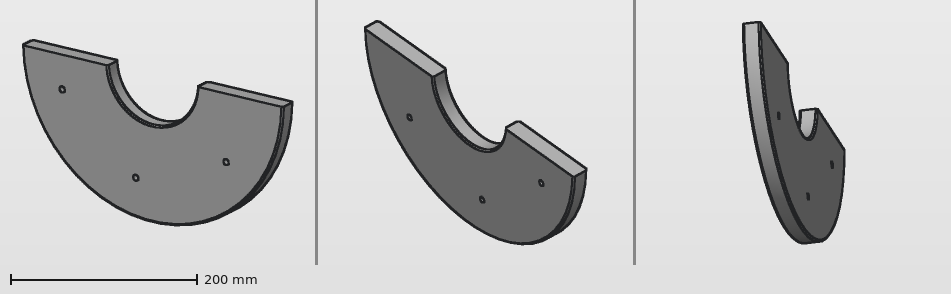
import cadquery as cq

outer_radius = 170.0
bore_radius = 58.0
thickness = 20.0
cut_offset = 2.5
edge_chamfer = 2.0
hole_diameter = 6.8
hole_centres = [(-117.5, -42.0), (-21.8, -123.0), (96.0, -80.5)]


def disc(radius, length):
    """Cylinder along Y, centred on the origin."""
    return cq.Workplane("XZ").circle(radius).extrude(length / 2, both=True)


ring = disc(outer_radius, thickness).cut(disc(bore_radius, thickness))
ring = ring.faces("<Y or >Y").edges().chamfer(edge_chamfer)

lower_half = cq.Workplane("XY").box(
    2 * outer_radius, thickness, outer_radius, centered=(True, True, False)
).translate((0, 0, -outer_radius - cut_offset))
half_ring = ring.intersect(lower_half)

for x, z in hole_centres:
    half_ring = half_ring.cut(disc(hole_diameter / 2, thickness).translate((x, 0, z)))

result = half_ring